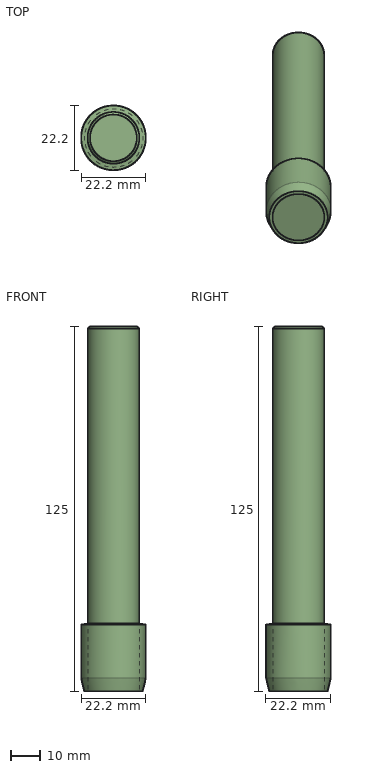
import cadquery as cq

total_height = 125.0
shaft_diameter = 17.8
shaft_chamfer = 0.9
sleeve_diameter = 22.2

nose_height = 4.8
nose_inset = 1.1
nose_bulge = 0.06
shoulder_height = 22.9
shoulder_rise = 0.4

shaft_radius = shaft_diameter / 2
sleeve_radius = sleeve_diameter / 2


def make_shaft():
    """Plain round shaft, full height, chamfered at the top end."""
    shaft = cq.Workplane("XY").circle(shaft_radius).extrude(total_height)
    return shaft.faces(">Z").chamfer(shaft_chamfer)


def make_sleeve():
    """Sleeve around the shaft, with a rounded nose and a slightly conical top face."""
    nose_radius = sleeve_radius - nose_inset
    nose_middle = (sleeve_radius - nose_inset / 2 + nose_bulge, nose_height / 2)
    return (
        cq.Workplane("XZ")
        .moveTo(shaft_radius, 0)
        .lineTo(nose_radius, 0)
        .threePointArc(nose_middle, (sleeve_radius, nose_height))
        .lineTo(sleeve_radius, shoulder_height)
        .lineTo(shaft_radius, shoulder_height + shoulder_rise)
        .close()
        .revolve(360, (0, 0), (0, 1))
    )


shaft = make_shaft()
sleeve = make_sleeve()

result = cq.Compound.makeCompound([shaft.val(), sleeve.val()])